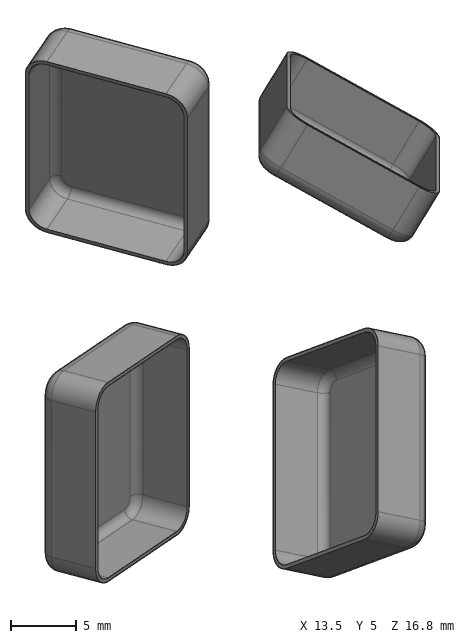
import cadquery as cq

width = 13.5
depth = 5.0
height = 16.8

wall = 0.3
corner_radius = 1.8
floor_edge_radius = 1.0


def rounded_block(block_width, block_depth, block_height, side_radius, back_radius):
    """Block from Y = 0 to +Y with rounded corners and a rounded back edge."""
    block = cq.Workplane("XY").box(
        block_width, block_depth, block_height, centered=(True, False, True)
    )
    return block.edges("|Y").fillet(side_radius).faces(">Y").edges().fillet(back_radius)


outer_body = rounded_block(width, depth, height, corner_radius, floor_edge_radius)

cavity = rounded_block(
    width - 2 * wall,
    depth - wall,
    height - 2 * wall,
    corner_radius - wall,
    floor_edge_radius - wall,
)

result = outer_body.cut(cavity)